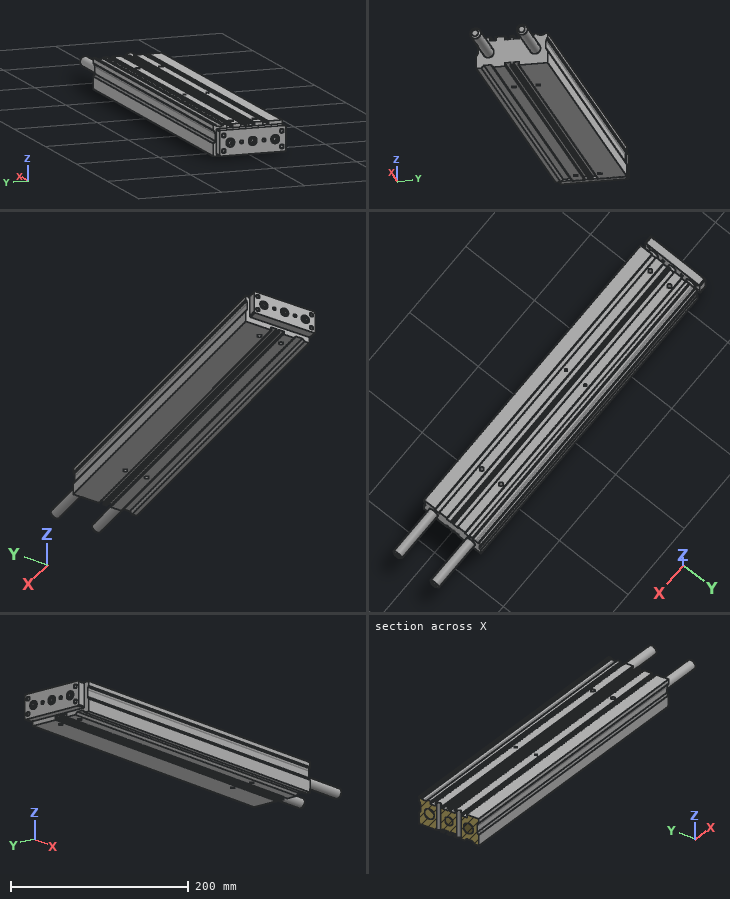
import cadquery as cq
import math

OVERALL_LENGTH = 468.0

PLATE_THICKNESS = 10.0
PLATE_WIDTH = 80.0
PLATE_HEIGHT = 30.0
PLATE_CHAMFER = 1.2
CORNER_HOLE_DIAMETER = 4.0
CORNER_HOLE_Y = 35.0
CORNER_HOLE_Z = 9.0
DOWEL_HOLE_DIAMETER = 3.0
HOLE_COUNTERSINK = 0.5
DOWEL_HOLE_Y = 13.5

PLATE_GAP = 6.0
HOUSING_START = PLATE_THICKNESS + PLATE_GAP
HOUSING_LENGTH = 386.0
HOUSING_WIDTH = 83.0
HOUSING_HEIGHT = 36.0
HALF_WIDTH = HOUSING_WIDTH / 2
HALF_HEIGHT = HOUSING_HEIGHT / 2

SLOT_WIDTH = 5.5
SLOT_DEPTH = 4.0
SLOT_LIP = 1.4
SLOT_UNDERCUT = 0.8
CENTER_SLOT_Y = 4.9
OUTER_SLOT_Y = 21.8
RIB_NOTCH_WIDTH = 1.4
RIB_NOTCH_DEPTH = 1.4

TOP_GROOVE_Y = 33.75
TOP_GROOVE_MOUTH = 9.6
TOP_GROOVE_SHELF = 7.2
TOP_GROOVE_FLOOR = 1.5
TOP_GROOVE_STEP_DEPTH = 1.2
TOP_GROOVE_DEPTH = 2.0

BOTTOM_GROOVE_Y = -28.4
BOTTOM_GROOVE_MOUTH = 14.0
BOTTOM_GROOVE_FLOOR = 8.0
BOTTOM_GROOVE_DEPTH = 3.0

RECESS_STEP_DEPTH = 1.2
RECESS_DEPTH = 2.0
RECESS_TOP_EDGE = 12.2
RECESS_TOP_STEP = 10.8
RECESS_TOP_FLOOR = 8.0
RECESS_BOTTOM_FLOOR = -0.3
RECESS_BOTTOM_STEP = -1.8
RECESS_BOTTOM_EDGE = -3.2

MOUNT_HOLE_DIAMETER = 5.0
PIN_HOLE_DIAMETER = 3.0
PIN_HOLE_DEPTH = 6.0
HOLE_ROW_Y = 14.0
HOLE_MIDDLE_X = 182.5
MOUNT_HOLE_PITCH = 300.0

ROD_SPACING = 27.0
GUIDE_ROD_DIAMETER = 12.5
GUIDE_ROD_CHAMFER_LENGTH = 1.7
GUIDE_ROD_CHAMFER_DEPTH = 2.5
PISTON_ROD_DIAMETER = 10.0
PISTON_ROD_DEPTH = 60.0
ROD_HEAD_DIAMETER = 10.0
ROD_HEAD_CHAMFER = 0.5
SOCKET_ACROSS_FLATS = 5.0
SOCKET_DEPTH = 4.0

GUIDE_ROD_YS = (-ROD_SPACING, ROD_SPACING)
PISTON_ROD_END = HOUSING_START + PISTON_ROD_DEPTH


def cylinder_x(diameter, start, end, y=0.0, z=0.0):
    """Round bar along X from start to end."""
    bar = cq.Workplane("YZ", origin=(start, y, z)).circle(diameter / 2)
    return bar.extrude(end - start)


def along_housing(points):
    """Closed YZ outline extruded over the full housing length."""
    outline = cq.Workplane("YZ", origin=(HOUSING_START, 0, 0)).polyline(points).close()
    return outline.extrude(HOUSING_LENGTH)


def groove(y, mouth, floor, depth, side):
    """Lengthwise groove cutter in the top (side = 1) or bottom (side = -1) face."""
    surface = side * HALF_HEIGHT
    bottom = side * (HALF_HEIGHT - depth)
    return along_housing([
        (y - mouth / 2, surface),
        (y + mouth / 2, surface),
        (y + floor / 2, bottom),
        (y - floor / 2, bottom),
    ])


def side_recess(side):
    """Lengthwise recess cutter in the +Y (side = 1) or -Y (side = -1) face."""
    surface = side * HALF_WIDTH
    step = side * (HALF_WIDTH - RECESS_STEP_DEPTH)
    floor = side * (HALF_WIDTH - RECESS_DEPTH)
    return along_housing([
        (surface, RECESS_TOP_EDGE),
        (step, RECESS_TOP_STEP),
        (floor, RECESS_TOP_FLOOR),
        (floor, RECESS_BOTTOM_FLOOR),
        (step, RECESS_BOTTOM_STEP),
        (surface, RECESS_BOTTOM_EDGE),
    ])


def top_groove():
    """Stepped V-shaped groove cutter in the top face near the +Y side."""
    step = HALF_HEIGHT - TOP_GROOVE_STEP_DEPTH
    floor = HALF_HEIGHT - TOP_GROOVE_DEPTH
    return along_housing([
        (TOP_GROOVE_Y - TOP_GROOVE_MOUTH / 2, HALF_HEIGHT),
        (TOP_GROOVE_Y + TOP_GROOVE_MOUTH / 2, HALF_HEIGHT),
        (TOP_GROOVE_Y + TOP_GROOVE_SHELF / 2, step),
        (TOP_GROOVE_Y + TOP_GROOVE_FLOOR / 2, floor),
        (TOP_GROOVE_Y - TOP_GROOVE_FLOOR / 2, floor),
        (TOP_GROOVE_Y - TOP_GROOVE_SHELF / 2, step),
    ])


def t_slot(y, side):
    """Undercut lengthwise slot cutter in the top (side = 1) or bottom (side = -1) face."""
    surface = side * HALF_HEIGHT
    lip = side * (HALF_HEIGHT - SLOT_LIP)
    floor = side * (HALF_HEIGHT - SLOT_DEPTH)
    mouth = SLOT_WIDTH / 2
    inner = mouth + SLOT_UNDERCUT
    return along_housing([
        (y - mouth, surface),
        (y - mouth, lip),
        (y - inner, lip),
        (y - inner, floor),
        (y + inner, floor),
        (y + inner, lip),
        (y + mouth, lip),
        (y + mouth, surface),
    ])


def make_housing():
    body = along_housing([
        (-HALF_WIDTH, -HALF_HEIGHT),
        (HALF_WIDTH, -HALF_HEIGHT),
        (HALF_WIDTH, HALF_HEIGHT),
        (-HALF_WIDTH, HALF_HEIGHT),
    ])

    for side in (-1, 1):
        body = body.cut(t_slot(side * OUTER_SLOT_Y, 1))
        body = body.cut(groove(0, RIB_NOTCH_WIDTH, RIB_NOTCH_WIDTH, RIB_NOTCH_DEPTH, side))
        for face in (-1, 1):
            body = body.cut(t_slot(side * CENTER_SLOT_Y, face))
        body = body.cut(side_recess(side))

    body = body.cut(top_groove())
    body = body.cut(
        groove(BOTTOM_GROOVE_Y, BOTTOM_GROOVE_MOUTH, BOTTOM_GROOVE_FLOOR, BOTTOM_GROOVE_DEPTH, -1)
    )

    top = cq.Workplane("XY", origin=(HOLE_MIDDLE_X, 0, HALF_HEIGHT))
    mount_holes = top.rarray(MOUNT_HOLE_PITCH, 2 * HOLE_ROW_Y, 2, 2)
    body = body.cut(mount_holes.circle(MOUNT_HOLE_DIAMETER / 2).extrude(-HOUSING_HEIGHT))
    pin_holes = top.pushPoints([(0, -HOLE_ROW_Y), (0, HOLE_ROW_Y)])
    body = body.cut(pin_holes.circle(PIN_HOLE_DIAMETER / 2).extrude(-PIN_HOLE_DEPTH))

    for y in GUIDE_ROD_YS:
        body = body.cut(cylinder_x(GUIDE_ROD_DIAMETER, HOUSING_START, OVERALL_LENGTH, y))
    return body.cut(cylinder_x(PISTON_ROD_DIAMETER, HOUSING_START, PISTON_ROD_END))


def plate_hole(diameter, y, z=0.0):
    """Cutter for a through hole with a small countersink at the outer face."""
    radius = diameter / 2
    outline = cq.Workplane("XY", origin=(0, y, z)).polyline([
        (0, 0),
        (0, radius + HOLE_COUNTERSINK),
        (HOLE_COUNTERSINK, radius),
        (PLATE_THICKNESS, radius),
        (PLATE_THICKNESS, 0),
    ]).close()
    return outline.revolve(360, (0, 0, 0), (1, 0, 0))


def make_end_plate():
    plate = cq.Workplane("YZ").rect(PLATE_WIDTH, PLATE_HEIGHT).extrude(PLATE_THICKNESS)
    plate = plate.edges("|X").chamfer(PLATE_CHAMFER)
    for y in (-CORNER_HOLE_Y, CORNER_HOLE_Y):
        for z in (-CORNER_HOLE_Z, CORNER_HOLE_Z):
            plate = plate.cut(plate_hole(CORNER_HOLE_DIAMETER, y, z))
    for y in (-DOWEL_HOLE_Y, DOWEL_HOLE_Y):
        plate = plate.cut(plate_hole(DOWEL_HOLE_DIAMETER, y))
    for y in (*GUIDE_ROD_YS, 0):
        plate = plate.cut(cylinder_x(ROD_HEAD_DIAMETER, 0, PLATE_THICKNESS, y))
    return plate


def socket_head(y):
    """Rod end inside the plate, with a hexagon socket whose flats face up and down."""
    head = cylinder_x(ROD_HEAD_DIAMETER, 0, PLATE_THICKNESS, y)
    head = head.faces("<X").chamfer(ROD_HEAD_CHAMFER)
    across_corners = SOCKET_ACROSS_FLATS / math.cos(math.pi / 6)
    socket = cq.Workplane("YZ", origin=(0, y, 0)).polygon(6, across_corners).extrude(SOCKET_DEPTH)
    return head.cut(socket)


def make_guide_rod(y):
    radius = GUIDE_ROD_DIAMETER / 2
    outline = cq.Workplane("XY", origin=(0, y, 0)).polyline([
        (PLATE_THICKNESS, 0),
        (PLATE_THICKNESS, radius),
        (OVERALL_LENGTH - GUIDE_ROD_CHAMFER_LENGTH, radius),
        (OVERALL_LENGTH, radius - GUIDE_ROD_CHAMFER_DEPTH),
        (OVERALL_LENGTH, 0),
    ]).close()
    shaft = outline.revolve(360, (0, 0, 0), (1, 0, 0))
    return shaft.union(socket_head(y))


def make_piston_rod():
    shaft = cylinder_x(PISTON_ROD_DIAMETER, PLATE_THICKNESS, PISTON_ROD_END)
    return shaft.union(socket_head(0))


housing = make_housing()
end_plate = make_end_plate()
guide_rods = [make_guide_rod(y) for y in GUIDE_ROD_YS]
piston_rod = make_piston_rod()

result = cq.Compound.makeCompound([
    housing.val(),
    end_plate.val(),
    *[rod.val() for rod in guide_rods],
    piston_rod.val(),
])